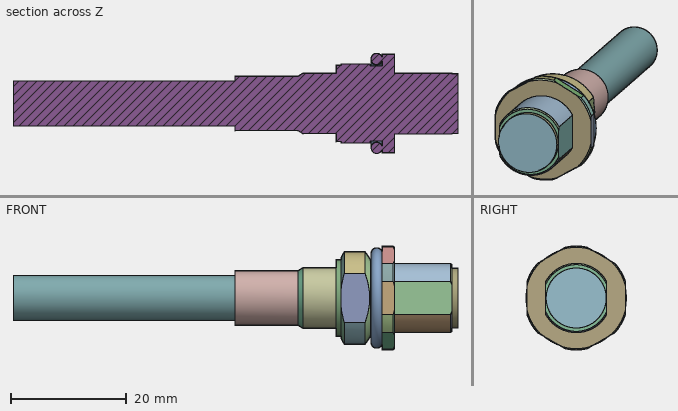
import cadquery as cq

cable_start = 0.0
sleeve_start = 38.2
taper_start = 49.1
taper_end = 49.9
collar_start = 55.7
nut_start = 56.5
nut_end = 61.6
ring_start = 61.7
flange_start = 63.6
flange_end = 65.7
body_end = 75.6
total_length = 76.7

cable_diameter = 7.8
sleeve_diameter = 9.4
ferrule_diameter = 10.5
thread_diameter = 13.3
thread_root_diameter = 13.0
nut_diameter = 16.0
nut_face_diameter = 14.0
ring_diameter = 17.3
flange_diameter = 17.95
body_diameter = 12.0
tip_diameter = 10.35

nut_across_flats = 13.65
flange_across_flats = 17.0
body_across_flats = ferrule_diameter
nut_front_chamfer = 0.5
nut_rear_chamfer = 0.9
flange_chamfer = 0.2
body_chamfer = 0.2
ring_section_radius = 1.0


def revolve_profile(stations):
    """Turn (x, diameter) stations into a solid of revolution about X."""
    outline = [(x, diameter / 2) for x, diameter in stations]
    first_x = stations[0][0]
    last_x = stations[-1][0]
    points = [(first_x, 0), *outline, (last_x, 0)]
    return cq.Workplane("XY").polyline(points).close().revolve(360, (0, 0, 0), (1, 0, 0))


def cut_side_flats(solid, across_flats):
    """Trim a solid to a pair of flats facing -Y and +Y."""
    slab = cq.Workplane("XY").box(total_length, across_flats, flange_diameter)
    return solid.intersect(slab.translate((total_length / 2, 0, 0)))


def make_core():
    """Cable, stepped sleeve, ferrule and the thread running into the flange."""
    return revolve_profile([
        (cable_start, cable_diameter),
        (sleeve_start, cable_diameter),
        (sleeve_start, sleeve_diameter),
        (taper_start, sleeve_diameter),
        (taper_end, ferrule_diameter),
        (collar_start, ferrule_diameter),
        (collar_start, thread_diameter),
        (nut_start, thread_diameter),
        (nut_start, thread_root_diameter),
        (flange_start, thread_root_diameter),
        (flange_start, tip_diameter),
        (total_length, tip_diameter),
    ])


def make_nut():
    """Round nut with conical ends and two wrench flats."""
    nut = revolve_profile([
        (nut_start, nut_face_diameter),
        (nut_start + nut_front_chamfer, nut_diameter),
        (nut_end - nut_rear_chamfer, nut_diameter),
        (nut_end, thread_diameter),
    ])
    return cut_side_flats(nut, nut_across_flats)


def make_sealing_ring():
    """O-ring seated against the flange."""
    section_center_x = ring_start + ring_section_radius
    section_center_y = ring_diameter / 2 - ring_section_radius
    return (
        cq.Workplane("XY")
        .center(section_center_x, section_center_y)
        .circle(ring_section_radius)
        .revolve(360, (0, -section_center_y, 0), (1, -section_center_y, 0))
    )


def make_flange():
    """Hexagonal flange with corners rounded by a coaxial cylinder."""
    flange = revolve_profile([
        (flange_start, flange_diameter),
        (flange_end - flange_chamfer, flange_diameter),
        (flange_end, flange_diameter - 2 * flange_chamfer),
    ])
    for angle in (0, 60, 120):
        turned = flange.rotate((0, 0, 0), (1, 0, 0), angle)
        flange = cut_side_flats(turned, flange_across_flats).rotate((0, 0, 0), (1, 0, 0), -angle)
    return flange


def make_body():
    """Rear connector body with two flats and a chamfered end."""
    body = revolve_profile([
        (flange_end, body_diameter),
        (body_end - body_chamfer, body_diameter),
        (body_end, body_diameter - 2 * body_chamfer),
    ])
    return cut_side_flats(body, body_across_flats)


result = (
    make_core()
    .union(make_nut())
    .union(make_sealing_ring())
    .union(make_flange())
    .union(make_body())
)